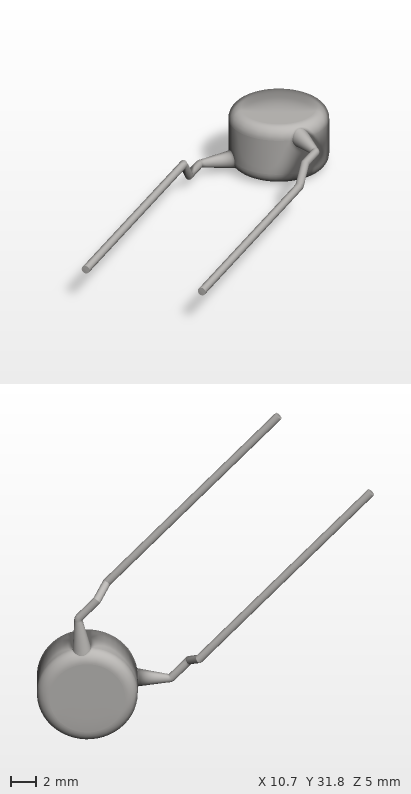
import cadquery as cq
import math


total_length = 31.8

disc_diameter = 8.0
disc_thickness = 5.0
disc_edge_radius = 1.0

lead_diameter = 0.67
lead_pitch = 10.0
lead_start_height = 1.5
bend_radius = 0.38
kink_start_y = -6.52
kink_run = 1.18

boot_angle = 41.0
boot_half_angle = 9.0
boot_root_distance = 2.85

disc_radius = disc_diameter / 2
lead_radius = lead_diameter / 2
lead_x = lead_pitch / 2
lead_end_y = disc_radius - total_length

axis_cos = math.cos(math.radians(boot_angle))
axis_sin = math.sin(math.radians(boot_angle))
tip_distance = (lead_x - bend_radius * (1 - axis_sin)) / axis_cos
tip_x = tip_distance * axis_cos
tip_y = -tip_distance * axis_sin

boot_axis = cq.Vector(axis_cos, -axis_sin, 0)
boot_length = tip_distance - boot_root_distance
boot_root_radius = lead_radius + boot_length * math.tan(math.radians(boot_half_angle))


def make_disc():
    """Round body with both rims rounded."""
    disc = cq.Workplane("XY").cylinder(disc_thickness, disc_radius)
    return disc.faces("|Z").edges().fillet(disc_edge_radius)


def make_boot(disc):
    """Cone narrowing to the lead diameter, with its base trimmed to the disc surface."""
    root = boot_axis * boot_root_distance + cq.Vector(0, 0, lead_start_height)
    cone = cq.Solid.makeCone(boot_root_radius, lead_radius, boot_length, root, boot_axis)
    return cq.Workplane(cone).cut(disc).solids()


def make_lead():
    """Round wire: bend at the boot, straight run, slanted kink to mid-plane, long straight leg."""
    bend_center_x = lead_x - bend_radius
    bend_end_y = tip_y - bend_radius * axis_cos
    mid_angle = math.radians((90 - boot_angle) / 2)
    bend_mid_x = bend_center_x + bend_radius * math.cos(mid_angle)
    bend_mid_y = bend_end_y + bend_radius * math.sin(mid_angle)

    bend_start = cq.Vector(tip_x, tip_y, lead_start_height)
    bend_mid = cq.Vector(bend_mid_x, bend_mid_y, lead_start_height)
    bend_end = cq.Vector(lead_x, bend_end_y, lead_start_height)
    kink_start = cq.Vector(lead_x, kink_start_y, lead_start_height)
    kink_end = cq.Vector(lead_x, kink_start_y - kink_run, 0)
    lead_end = cq.Vector(lead_x, lead_end_y, 0)

    path = cq.Wire.assembleEdges([
        cq.Edge.makeThreePointArc(bend_start, bend_mid, bend_end),
        cq.Edge.makeLine(bend_end, kink_start),
        cq.Edge.makeLine(kink_start, kink_end),
        cq.Edge.makeLine(kink_end, lead_end),
    ])
    section_plane = cq.Plane(origin=bend_start, xDir=(0, 0, 1), normal=boot_axis)
    return cq.Workplane(section_plane).circle(lead_radius).sweep(path, transition="right")


disc = make_disc()

boots = []
leads = []
for turn in (0, 180):
    boots.append(make_boot(disc).rotate((0, 0, 0), (0, 1, 0), turn))
    leads.append(make_lead().rotate((0, 0, 0), (0, 1, 0), turn))

result = cq.Compound.makeCompound(
    [disc.val()] + [boot.val() for boot in boots] + [lead.val() for lead in leads]
)